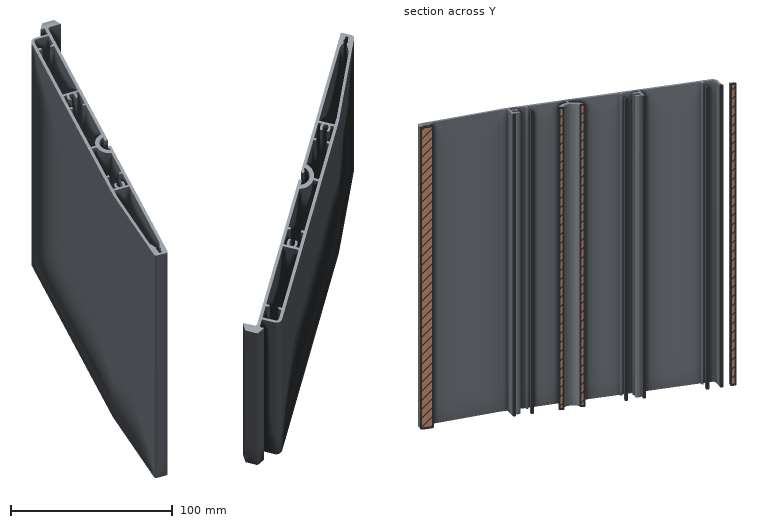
import cadquery as cq

width = 210.0
total_depth = 22.9
length = 200.0

body_depth = 14.0
skin = 2.0
web = 1.5
body_left = 9.9
corner_radius = 3.8
cavity_front = skin
cavity_back = body_depth - skin
cavity_middle = (cavity_front + cavity_back) / 2

hook_width = 4.6
hook_bevel = 3.0
hook_front = 9.2
hook_fillet = 1.7

taper_start = 151.6
inner_taper_start = 154.0
taper_slope = 0.091
nose_radius = 1.7
nose_back_radius = 1.0
taper_rise = taper_slope * (width - taper_start)

funnel_back_start = 200.3
funnel_front_start = 198.7
throat_x = 203.7
nose_slot_y = 9.7
nose_slot_height = 1.9
nose_slot_end = 208.3
pocket_x = 205.0
pocket_radius = 1.5

port_web_offset = 43.9
prong_length = 4.2
port_gap = 2.3
prong_bow = 0.6

nub_offset = 30.5
nub_height = 1.7
barb_left = 19.1
barb_height = 2.3
barb_bevel = 1.0

channel_x = 109.8
channel_outer_radius = 8.8
channel_inner_radius = 6.0
slot_half_width = 2.3
bead_radius = 1.0
lip_thickness = 1.5
notch_width = 1.5


def extrude(sketch):
    """Full-length prism over a closed outline."""
    return sketch.extrude(length)


def box(left, right, front, back):
    """Full-length block between two X and two Y positions."""
    outline = cq.Workplane("XY").moveTo(left, front).lineTo(right, front)
    return extrude(outline.lineTo(right, back).lineTo(left, back).close())


def cylinder(x, y, radius):
    return extrude(cq.Workplane("XY").center(x, y).circle(radius))


def mirrored(shape):
    """The shape's mirror image about the middle of the width."""
    return shape.mirror("YZ", (width / 2, 0, 0))


def make_hook():
    outline = (
        cq.Workplane("XY")
        .moveTo(0, hook_front + hook_bevel)
        .lineTo(hook_width, hook_front)
        .lineTo(hook_width, total_depth)
        .lineTo(0, total_depth - hook_bevel)
        .close()
    )
    arm = box(hook_width / 2, body_left + web, cavity_back, body_depth)
    hook = extrude(outline).union(arm)
    inner_corner = cq.selectors.NearestToPointSelector((hook_width, body_depth, length / 2))
    return hook.edges("|Z").edges(inner_corner).fillet(hook_fillet)


def make_body():
    outline = (
        cq.Workplane("XY")
        .moveTo(body_left, 0)
        .lineTo(taper_start, 0)
        .lineTo(width, taper_rise)
        .lineTo(width, body_depth)
        .lineTo(body_left, body_depth)
        .close()
    )
    body = extrude(outline)
    for x, y, radius in (
        (body_left, 0, corner_radius),
        (width, taper_rise, nose_radius),
        (width, body_depth, nose_back_radius),
    ):
        corner = cq.selectors.NearestToPointSelector((x, y, length / 2))
        body = body.edges("|Z").edges(corner).fillet(radius)
    return body


def make_main_cavity():
    """Chamber from the left wall to the right-hand port web."""
    right = width / 2 + port_web_offset - web
    cavity = box(body_left + web, right, cavity_front, cavity_back)
    return cavity.edges("|Z and <X and <Y").fillet(corner_radius - skin)


def make_nose_cavity():
    left = width / 2 + port_web_offset
    funnel_front = skin + taper_slope * (funnel_front_start - inner_taper_start)
    outline = (
        cq.Workplane("XY")
        .moveTo(left, cavity_front)
        .lineTo(inner_taper_start, cavity_front)
        .lineTo(funnel_front_start, funnel_front)
        .lineTo(throat_x, nose_slot_y - nose_slot_height / 2)
        .lineTo(nose_slot_end, nose_slot_y - nose_slot_height / 2)
        .lineTo(nose_slot_end, nose_slot_y + nose_slot_height / 2)
        .lineTo(throat_x, nose_slot_y + nose_slot_height / 2)
        .lineTo(funnel_back_start, cavity_back)
        .lineTo(left, cavity_back)
        .close()
    )
    return extrude(outline).union(cylinder(pocket_x, nose_slot_y, pocket_radius))


def make_prong(root, side):
    """Bowed prong pointing to +X; side is +1 for the back one and -1 for the front one."""
    tip = root + prong_length
    middle = root + prong_length / 2
    inner = cavity_middle + side * port_gap / 2
    outer = inner + side * web
    outline = (
        cq.Workplane("XY")
        .moveTo(root, inner)
        .threePointArc((middle, inner + side * prong_bow), (tip, inner))
        .lineTo(tip, outer)
        .threePointArc((middle, outer + side * prong_bow), (root, outer))
        .close()
    )
    return extrude(outline)


def make_port_web():
    """Left-hand cross web with its two screw-port prongs."""
    left = width / 2 - port_web_offset
    port = box(left, left + web, cavity_front, cavity_back)
    for side in (-1, 1):
        port = port.union(make_prong(left + web, side))
    return port


def make_nubs():
    """Left-hand pair of square nubs, facing each other."""
    right = width / 2 - nub_offset
    front_nub = box(right - web, right, cavity_front, cavity_front + nub_height)
    back_nub = box(right - web, right, cavity_back - nub_height, cavity_back)
    return front_nub.union(back_nub)


def make_barb(base, direction):
    """Nub with a bevelled left side, standing on the skin face at Y = base."""
    tip = base + direction * barb_height
    outline = (
        cq.Workplane("XY")
        .moveTo(barb_left, base)
        .lineTo(barb_left + web, base)
        .lineTo(barb_left + web, tip)
        .lineTo(barb_left + web / 2, tip)
        .lineTo(barb_left, tip - direction * barb_bevel)
        .close()
    )
    return extrude(outline)


def add_channel(body):
    """Half-round channel inside the back skin, on a stem, with a slot between two lips."""
    ring_space = box(0, width, cavity_front, body_depth)
    ring = cylinder(channel_x, body_depth, channel_outer_radius).intersect(ring_space)
    stem = box(channel_x - web / 2, channel_x + web / 2, cavity_front, cavity_back - channel_inner_radius)
    bore = cylinder(channel_x, body_depth, channel_inner_radius)
    inside_skin = box(0, width, cavity_front, cavity_back)
    slot_left = channel_x - slot_half_width
    slot_right = channel_x + slot_half_width
    bead_x = slot_right + bead_radius
    notch_left = bead_x + bead_radius
    slot = box(slot_left, bead_x, cavity_back, body_depth)
    notch = box(notch_left, notch_left + notch_width, cavity_back, body_depth - lip_thickness)
    bead = cylinder(bead_x, body_depth - bead_radius, bead_radius)
    body = body.union(ring).union(stem)
    for opening in (bore.intersect(inside_skin), slot, notch):
        body = body.cut(opening)
    return body.union(bead)


body = make_body().cut(make_main_cavity()).cut(make_nose_cavity())
for feature in (make_port_web(), make_nubs()):
    body = body.union(feature).union(mirrored(feature))
body = body.union(make_barb(cavity_front, 1)).union(make_barb(cavity_back, -1))
body = add_channel(body)
result = body.union(make_hook())